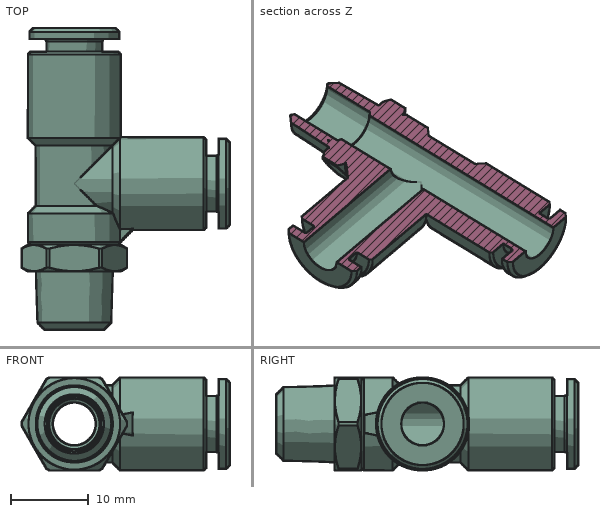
import cadquery as cq
import math


port_length = 20.05
barrel_radius = 6.0
waist_radius = 5.0
barrel_start = 5.9
barrel_end = 17.0
barrel_edge_chamfer = 0.35
collar_radius = 5.8
collar_thickness = 1.45
collar_chamfer = 0.5
neck_radius = 3.62
neck_flare = 0.1
neck_flare_length = 0.3

shoulder_start = -2.87
shoulder_end = -7.55
hex_top = -7.85
hex_bottom = -11.35
hex_flats = 12.0
hex_corner_radius = 6.8
hex_face_radius = 5.9
hex_chamfer_angle = 30.0
groove_radius = 5.7

stud_end = -18.85
stud_root_radius = 4.97
stud_taper = 1 / 16
stud_chamfer = 0.95

bore_radius = 2.75
stud_bore_radius = 3.25
stud_bore_mouth_chamfer = 0.28
stud_bore_end = hex_bottom
bore_step_half_angle = 60.0

gusset_half_angle = 11.2
gusset_start = -7.5
gusset_height = 2.0
gusset_overlap = 1.0


def turned(profile):
    """Turn a closed (radius, y) outline around the Y axis."""
    return cq.Workplane("XY").polyline(profile).close().revolve(360, (0, 0, 0), (0, 1, 0))


def make_tube_port():
    """Waist, barrel, neck and release collar, from the crossing point toward +Y."""
    collar_start = port_length - collar_thickness
    return turned([
        (0, 0),
        (waist_radius, 0),
        (waist_radius, barrel_start - (barrel_radius - waist_radius)),
        (barrel_radius, barrel_start),
        (barrel_radius, barrel_end - barrel_edge_chamfer),
        (barrel_radius - barrel_edge_chamfer, barrel_end),
        (neck_radius, barrel_end),
        (neck_radius, collar_start - neck_flare_length),
        (neck_radius + neck_flare, collar_start),
        (collar_radius, collar_start),
        (collar_radius, port_length - collar_chamfer),
        (collar_radius - collar_chamfer, port_length),
        (0, port_length),
    ])


def make_shoulder():
    """Waist below the crossing point, widening into the shoulder above the hexagon."""
    return turned([
        (0, 0),
        (waist_radius, 0),
        (waist_radius, shoulder_start),
        (barrel_radius, shoulder_start - (barrel_radius - waist_radius)),
        (barrel_radius, shoulder_end),
        (groove_radius, hex_top),
        (0, hex_top),
    ])


def make_hexagon():
    """Hexagon with corners on the X axis, chamfered at both ends."""
    corner_diameter = hex_flats / math.cos(math.radians(30))
    blank = (
        cq.Workplane("XZ", origin=(0, hex_top, 0))
        .polygon(6, corner_diameter)
        .extrude(hex_top - hex_bottom)
    )
    chamfer_drop = (hex_corner_radius - hex_face_radius) * math.tan(math.radians(hex_chamfer_angle))
    envelope = turned([
        (0, hex_top),
        (hex_face_radius, hex_top),
        (hex_corner_radius, hex_top - chamfer_drop),
        (hex_corner_radius, hex_bottom + chamfer_drop),
        (hex_face_radius, hex_bottom),
        (0, hex_bottom),
    ])
    return blank.intersect(envelope)


def make_stud():
    """Tapered threaded end below the hexagon."""
    chamfer_start = stud_end + stud_chamfer
    tip_radius = stud_root_radius - (hex_bottom - chamfer_start) * stud_taper / 2
    return turned([
        (0, hex_bottom),
        (stud_root_radius, hex_bottom),
        (tip_radius, chamfer_start),
        (tip_radius - stud_chamfer, stud_end),
        (0, stud_end),
    ])


def make_gusset():
    """Wedge with radial sides and a 45 degree edge, on the +X side of the shoulder."""
    inner = barrel_radius - gusset_overlap
    top = gusset_start + gusset_height
    return (
        cq.Workplane("XY")
        .polyline([
            (inner, gusset_start),
            (barrel_radius, gusset_start),
            (barrel_radius + gusset_height, top),
            (inner, top),
        ])
        .close()
        .revolve(2 * gusset_half_angle, (0, 0, 0), (0, 1, 0))
        .rotate((0, 0, 0), (0, 1, 0), -gusset_half_angle)
    )


def make_run_bore():
    """Through bore along Y, wider in the stud and chamfered at its mouth."""
    step_length = (stud_bore_radius - bore_radius) / math.tan(math.radians(bore_step_half_angle))
    return turned([
        (0, port_length),
        (bore_radius, port_length),
        (bore_radius, stud_bore_end + step_length),
        (stud_bore_radius, stud_bore_end),
        (stud_bore_radius, stud_end + stud_bore_mouth_chamfer),
        (stud_bore_radius + stud_bore_mouth_chamfer, stud_end),
        (0, stud_end),
    ])


def make_branch_bore():
    """Bore from the branch collar into the run bore."""
    return cq.Workplane("YZ").circle(bore_radius).extrude(port_length)


run_port = make_tube_port()
branch_port = make_tube_port().rotate((0, 0, 0), (0, 0, 1), -90)

result = (
    run_port
    .union(make_shoulder())
    .union(branch_port)
    .union(make_gusset())
    .union(make_hexagon())
    .union(make_stud())
    .cut(make_run_bore())
    .cut(make_branch_bore())
)